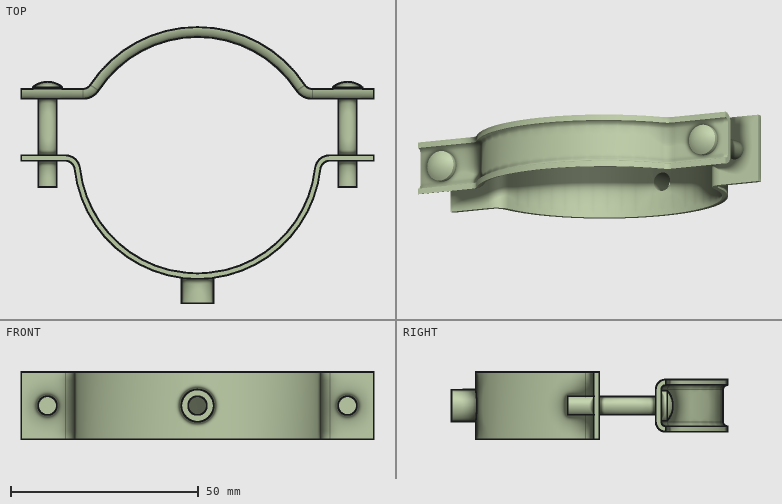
import cadquery as cq
import math

pipe_radius = 31.5
half_span = 47.0
sheet = 1.5
screw_x = 40.0
shank_radius = 2.5

lower_height = 18.0
lower_ear_y = 0.0
lower_bend_radius = 4.0

boss_radius = 4.3
boss_length = 6.5
boss_bore_radius = 2.5

upper_height = 14.0
upper_ear_y = 15.0
upper_bend_radius = 5.0
lip_outer_radius = 2.7
lip_inner_radius = lip_outer_radius - sheet

screw_tip_y = -8.5
head_radius = 4.0
head_rim_height = 1.6
dome_height = 1.5


def lower_strap():
    """Half ring with bent ears, plus the bored boss at its lowest point."""
    outer_radius = pipe_radius + sheet
    bend_outer = lower_bend_radius
    bend_inner = bend_outer - sheet
    bend_y = lower_ear_y - bend_outer
    bend_center_distance = pipe_radius + bend_outer
    bend_x = math.sqrt(bend_center_distance**2 - bend_y**2)
    end_x = bend_x / bend_center_distance
    end_y = bend_y / bend_center_distance
    tangent_angle = math.pi + math.atan2(end_y, end_x)
    mid_angle = (math.radians(90) + tangent_angle) / 2

    def on_bend(radius):
        return (bend_x + radius * math.cos(mid_angle), bend_y + radius * math.sin(mid_angle))

    def mirrored(point):
        return (-point[0], point[1])

    def on_ring(radius):
        return (radius * end_x, radius * end_y)

    band = (
        cq.Workplane("XY")
        .workplane(offset=-lower_height / 2)
        .moveTo(half_span, lower_ear_y)
        .lineTo(bend_x, lower_ear_y)
        .threePointArc(on_bend(bend_outer), on_ring(pipe_radius))
        .threePointArc((0, -pipe_radius), mirrored(on_ring(pipe_radius)))
        .threePointArc(mirrored(on_bend(bend_outer)), (-bend_x, lower_ear_y))
        .lineTo(-half_span, lower_ear_y)
        .lineTo(-half_span, lower_ear_y - sheet)
        .lineTo(-bend_x, lower_ear_y - sheet)
        .threePointArc(mirrored(on_bend(bend_inner)), mirrored(on_ring(outer_radius)))
        .threePointArc((0, -outer_radius), on_ring(outer_radius))
        .threePointArc(on_bend(bend_inner), (bend_x, lower_ear_y - sheet))
        .lineTo(half_span, lower_ear_y - sheet)
        .close()
        .extrude(lower_height)
    )
    return band.union(boss(outer_radius)).cut(boss_bore(outer_radius)).cut(shank_holes())


def boss(band_outer_radius):
    """Cylinder along Y that stands on the band and stops inside its thickness."""
    root_radius = pipe_radius + sheet / 2
    blank = (
        cq.Workplane("XZ", origin=(0, -band_outer_radius - boss_length, 0))
        .circle(boss_radius)
        .extrude(-(boss_length + sheet))
    )
    inside_of_band = cq.Workplane("XY").circle(root_radius).extrude(lower_height, both=True)
    return blank.cut(inside_of_band)


def boss_bore(band_outer_radius):
    """Bore that runs through the boss and the band behind it."""
    bore_length = boss_length + 2 * sheet
    return (
        cq.Workplane("XZ", origin=(0, -band_outer_radius - boss_length, 0))
        .circle(boss_bore_radius)
        .extrude(-bore_length)
    )


def upper_strap():
    """Lipped channel swept along ear, bend, arch, bend and ear."""
    bend_y = upper_ear_y + upper_bend_radius
    bend_center_distance = pipe_radius + upper_bend_radius
    bend_x = math.sqrt(bend_center_distance**2 - bend_y**2)
    end_x = pipe_radius * bend_x / bend_center_distance
    end_y = pipe_radius * bend_y / bend_center_distance
    tangent_angle = math.atan2(bend_y, bend_x) - math.pi
    mid_angle = (math.radians(-90) + tangent_angle) / 2
    mid_x = bend_x + upper_bend_radius * math.cos(mid_angle)
    mid_y = bend_y + upper_bend_radius * math.sin(mid_angle)

    path = (
        cq.Workplane("XY")
        .moveTo(-half_span, upper_ear_y)
        .lineTo(-bend_x, upper_ear_y)
        .threePointArc((-mid_x, mid_y), (-end_x, end_y))
        .threePointArc((0, pipe_radius), (end_x, end_y))
        .threePointArc((mid_x, mid_y), (bend_x, upper_ear_y))
        .lineTo(half_span, upper_ear_y)
    )
    half_height = upper_height / 2
    lip_y = upper_ear_y + lip_outer_radius
    web_outer_y = upper_ear_y + sheet
    web_half_height = half_height - lip_outer_radius
    section = (
        cq.Workplane("YZ", origin=(-half_span, 0, 0))
        .moveTo(lip_y, half_height)
        .radiusArc((upper_ear_y, web_half_height), -lip_outer_radius)
        .lineTo(upper_ear_y, -web_half_height)
        .radiusArc((lip_y, -half_height), -lip_outer_radius)
        .lineTo(lip_y, sheet - half_height)
        .radiusArc((web_outer_y, -web_half_height), lip_inner_radius)
        .lineTo(web_outer_y, web_half_height)
        .radiusArc((lip_y, half_height - sheet), lip_inner_radius)
        .close()
    )
    return section.sweep(path).cut(shank_holes())


def shank_holes():
    """Cylinders along Y that open the ears for the screw shanks."""
    hole_length = upper_ear_y + sheet - screw_tip_y
    return (
        cq.Workplane("XZ", origin=(0, screw_tip_y, 0))
        .pushPoints([(-screw_x, 0), (screw_x, 0)])
        .circle(shank_radius)
        .extrude(-hole_length)
    )


def screw(x):
    """Domed-head screw seated on the outer face of the upper ear."""
    seat_y = upper_ear_y + sheet
    rim_y = seat_y + head_rim_height
    dome_radius = (head_radius**2 + dome_height**2) / (2 * dome_height)
    return (
        cq.Workplane("XY")
        .moveTo(0, screw_tip_y)
        .lineTo(shank_radius, screw_tip_y)
        .lineTo(shank_radius, seat_y)
        .lineTo(head_radius, seat_y)
        .lineTo(head_radius, rim_y)
        .radiusArc((0, rim_y + dome_height), -dome_radius)
        .close()
        .revolve(360, (0, 0, 0), (0, 1, 0))
        .translate((x, 0, 0))
    )


lower = lower_strap()
upper = upper_strap()
screws = [screw(x) for x in (-screw_x, screw_x)]

result = cq.Compound.makeCompound([lower.val(), upper.val(), *[body.val() for body in screws]])